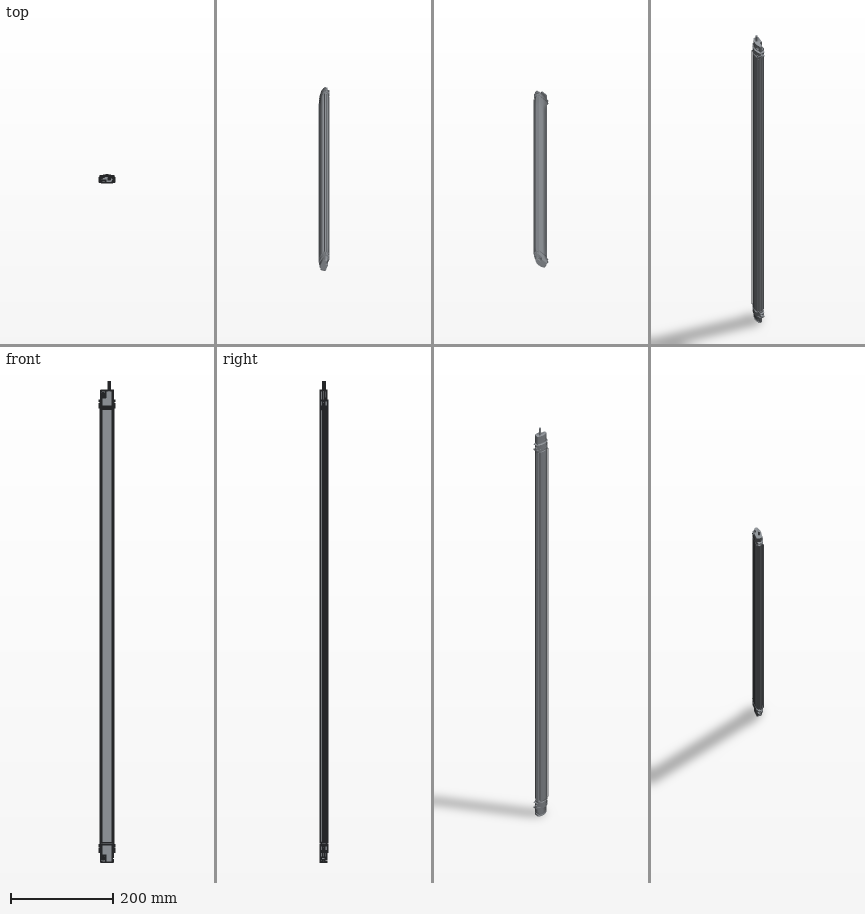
import cadquery as cq

TOTAL_LENGTH = 938.2
RIM_WIDTH = 30.6
DEPTH = 15.53

BAR_WIDTH = 26.0
FRONT_STRIP_WIDTH = 19.8
FRONT_STRIP_STEP = 0.7
BEVEL_END_Y = -2.2
CAP_SIDE_END_Y = 1.5

LIP_Y = 5.8
LIP_WIDTH = 1.2
CROWN_STRIP_WIDTH = 16.0
CROWN_EDGE_Y = 6.0
REAR_GAP_FLOOR_Y = 3.5
SIDE_GROOVE_HEIGHT = 1.5
SIDE_GROOVE_DEPTH = 1.5
SIDE_GROOVE_CENTRES = (0.5, 3.7)

COLLAR_LENGTH = 14.5
LOWER_RIM_HEIGHT = 3.0
UPPER_RIM_HEIGHT = 1.2
RIM_BEVEL_END_Y = -5.8
RIM_SIDE_END_Y = 2.0
TAB_WIDTH = 3.5
LOWER_TAB_HEIGHT = 4.6
UPPER_TAB_HEIGHT = 1.2
TIP_LENGTH = 19.4
TIP_WIDTH = 24.6
TIP_REAR_Y = 5.6
TIP_CORNER_RADIUS = 2.8

SEAT_RIGHT_X = -2.8
SEAT_LENGTH = 14.1
SEAT_DEPTH = 5.0
HOLE_X = -7.5
HOLE_FROM_END = 8.0
HOLE_DIAMETER = 2.8
COUNTERBORE_DIAMETER = 5.6
COUNTERBORE_DEPTH = 1.5
WINDOW_WIDTH = 6.5
WINDOW_HEIGHT = 3.0

NOTCH_HEIGHT = 3.2
NOTCH_FLOOR_Y = 1.5
LOWER_NOTCH_Z = 1.4

SIDE_NOTCH_Z = 5.5
SIDE_NOTCH_HEIGHT = 4.2
SIDE_NOTCH_DEPTH = 1.8

SEAM_ABOVE_COLLAR_BOTTOM = 1.8
SEAM_HEIGHT = 0.6
SEAM_DEPTH = 0.4

LOWER_NECK_LENGTH = 4.5
UPPER_NECK_LENGTH = 3.6
NECK_WIDTH = 26.0
NECK_DEPTH = 11.0
NECK_CORNER_RADIUS = 3.5

CABLE_DIAMETER = 4.0
CABLE_LENGTH = 17.0
CABLE_X = 4.2

FRONT_Y = -DEPTH / 2
REAR_Y = DEPTH / 2
BEVEL_START_Y = FRONT_Y + FRONT_STRIP_STEP
CAP_LENGTH = TIP_LENGTH + COLLAR_LENGTH
UPPER_END_Z = TOTAL_LENGTH - CABLE_LENGTH
UPPER_TIP_Z = UPPER_END_Z - TIP_LENGTH
UPPER_COLLAR_Z = UPPER_END_Z - CAP_LENGTH
BAR_BOTTOM_Z = CAP_LENGTH + LOWER_NECK_LENGTH
BAR_TOP_Z = UPPER_COLLAR_Z - UPPER_NECK_LENGTH


def block(x_range, y_range, z_range):
    """Box spanning the given (low, high) ranges."""
    sizes = [high - low for low, high in (x_range, y_range, z_range)]
    corner = (x_range[0], y_range[0], z_range[0])
    return cq.Workplane("XY").box(*sizes, centered=False).translate(corner)


def front_outline(width, bevel_end_y, bottom_z):
    """Open outline from the left side, across the flat front strip, to the right side."""
    half_width = width / 2
    half_front = FRONT_STRIP_WIDTH / 2
    return (
        cq.Workplane("XY")
        .workplane(offset=bottom_z)
        .moveTo(-half_width, bevel_end_y)
        .lineTo(-half_front, BEVEL_START_Y)
        .lineTo(-half_front, FRONT_Y)
        .lineTo(half_front, FRONT_Y)
        .lineTo(half_front, BEVEL_START_Y)
        .lineTo(half_width, bevel_end_y)
    )


def domed_prism(width, bevel_end_y, side_end_y, rear_y, z_range):
    """Prism along Z with the shared front and a domed rear."""
    half_width = width / 2
    return (
        front_outline(width, bevel_end_y, z_range[0])
        .lineTo(half_width, side_end_y)
        .threePointArc((0, rear_y), (-half_width, side_end_y))
        .close()
        .extrude(z_range[1] - z_range[0])
    )


def make_bar():
    """Long bar with corner lips and a crowned strip at the rear, and two grooves in each side."""
    z_range = (BAR_BOTTOM_Z, BAR_TOP_Z)
    half_width = BAR_WIDTH / 2
    lip_x = half_width - LIP_WIDTH
    strip_x = CROWN_STRIP_WIDTH / 2
    bar = (
        front_outline(BAR_WIDTH, BEVEL_END_Y, BAR_BOTTOM_Z)
        .lineTo(half_width, LIP_Y)
        .lineTo(lip_x, LIP_Y)
        .lineTo(lip_x, REAR_GAP_FLOOR_Y)
        .lineTo(strip_x, REAR_GAP_FLOOR_Y)
        .lineTo(strip_x, CROWN_EDGE_Y)
        .threePointArc((0, REAR_Y), (-strip_x, CROWN_EDGE_Y))
        .lineTo(-strip_x, REAR_GAP_FLOOR_Y)
        .lineTo(-lip_x, REAR_GAP_FLOOR_Y)
        .lineTo(-lip_x, LIP_Y)
        .lineTo(-half_width, LIP_Y)
        .close()
        .extrude(BAR_TOP_Z - BAR_BOTTOM_Z)
    )
    groove_floor_x = half_width - SIDE_GROOVE_DEPTH
    for centre in SIDE_GROOVE_CENTRES:
        y_range = (centre - SIDE_GROOVE_HEIGHT / 2, centre + SIDE_GROOVE_HEIGHT / 2)
        bar = bar.cut(block((groove_floor_x, half_width), y_range, z_range))
        bar = bar.cut(block((-half_width, -groove_floor_x), y_range, z_range))
    return bar


def make_neck(bottom_z, top_z):
    """Rounded neck joining the bar to a cap."""
    neck = block((-NECK_WIDTH / 2, NECK_WIDTH / 2), (-NECK_DEPTH / 2, NECK_DEPTH / 2), (bottom_z, top_z))
    return neck.edges("|Z").fillet(NECK_CORNER_RADIUS)


def make_collar(bottom_z):
    """Collar with a wide rim at each end and facing tabs at the middle of each side."""
    top_z = bottom_z + COLLAR_LENGTH
    lower_rim_z = bottom_z + LOWER_RIM_HEIGHT
    upper_rim_z = top_z - UPPER_RIM_HEIGHT
    collar = domed_prism(BAR_WIDTH, BEVEL_END_Y, CAP_SIDE_END_Y, REAR_Y, (bottom_z, top_z))
    for z_range in ((bottom_z, lower_rim_z), (upper_rim_z, top_z)):
        collar = collar.union(domed_prism(RIM_WIDTH, RIM_BEVEL_END_Y, RIM_SIDE_END_Y, REAR_Y, z_range))
    tab_x = (-RIM_WIDTH / 2, RIM_WIDTH / 2)
    tab_y = (-TAB_WIDTH / 2, TAB_WIDTH / 2)
    collar = collar.union(block(tab_x, tab_y, (lower_rim_z, lower_rim_z + LOWER_TAB_HEIGHT)))
    return collar.union(block(tab_x, tab_y, (upper_rim_z - UPPER_TAB_HEIGHT, upper_rim_z)))


def cut_seat(tip, end_z, inward):
    """Cut the front seat and its counterbored hole; inward is +1 or -1 along Z from the end."""
    seat_floor_y = FRONT_Y + SEAT_DEPTH
    seat_z = sorted((end_z, end_z + inward * SEAT_LENGTH))
    tip = tip.cut(block((-TIP_WIDTH / 2, SEAT_RIGHT_X), (FRONT_Y, seat_floor_y), seat_z))
    hole_plane = cq.Workplane("XZ", origin=(HOLE_X, seat_floor_y, end_z + inward * HOLE_FROM_END))
    tip = tip.cut(hole_plane.circle(HOLE_DIAMETER / 2).extrude(-DEPTH))
    return tip.cut(hole_plane.circle(COUNTERBORE_DIAMETER / 2).extrude(-COUNTERBORE_DEPTH))


def cut_notch(tip, bottom_z):
    """Cut the notch across the rear of a tip."""
    x_range = (-TIP_WIDTH / 2, TIP_WIDTH / 2)
    return tip.cut(block(x_range, (NOTCH_FLOOR_Y, TIP_REAR_Y), (bottom_z, bottom_z + NOTCH_HEIGHT)))


def round_corner(tip, side, end_z, inward):
    """Round the free corner of a tip on the given side (+1 right, -1 left)."""
    corner_x = side * TIP_WIDTH / 2
    centre_x = corner_x - side * TIP_CORNER_RADIUS
    centre_z = end_z + inward * TIP_CORNER_RADIUS
    waste = block(sorted((corner_x, centre_x)), (FRONT_Y, REAR_Y), sorted((end_z, centre_z)))
    rounding_plane = cq.Workplane("XZ", origin=(centre_x, 0, centre_z))
    rounding = rounding_plane.circle(TIP_CORNER_RADIUS).extrude(DEPTH, both=True)
    return tip.cut(waste.cut(rounding))


def make_tip(bottom_z):
    """Plain cap tip before its seat, notch and rounded corners are cut."""
    return domed_prism(TIP_WIDTH, BEVEL_END_Y, CAP_SIDE_END_Y, TIP_REAR_Y, (bottom_z, bottom_z + TIP_LENGTH))


def make_lower_cap():
    """Closed cap at the bottom of the bar, with a side notch and both free corners rounded."""
    tip = cut_seat(make_tip(0), end_z=0, inward=1)
    tip = cut_notch(tip, LOWER_NOTCH_Z)
    side_x = (TIP_WIDTH / 2 - SIDE_NOTCH_DEPTH, TIP_WIDTH / 2)
    tip = tip.cut(block(side_x, (FRONT_Y, REAR_Y), (SIDE_NOTCH_Z, SIDE_NOTCH_Z + SIDE_NOTCH_HEIGHT)))
    for side in (-1, 1):
        tip = round_corner(tip, side, end_z=0, inward=1)
    return tip.union(make_collar(TIP_LENGTH))


def make_upper_collar():
    """Collar with a shallow seam across its front."""
    seam_x = (-RIM_WIDTH / 2, RIM_WIDTH / 2)
    seam_y = (FRONT_Y, FRONT_Y + SEAM_DEPTH)
    seam_z = UPPER_COLLAR_Z + SEAM_ABOVE_COLLAR_BOTTOM
    return make_collar(UPPER_COLLAR_Z).cut(block(seam_x, seam_y, (seam_z, seam_z + SEAM_HEIGHT)))


def make_cable():
    """Round cable standing on the upper end."""
    plane = cq.Workplane("XY", origin=(CABLE_X, 0, UPPER_END_Z))
    return plane.circle(CABLE_DIAMETER / 2).extrude(CABLE_LENGTH)


def make_upper_cap():
    """Cap at the top of the bar, with a window through the seat and the cable leaving its end."""
    tip = cut_seat(make_tip(UPPER_TIP_Z), end_z=UPPER_END_Z, inward=-1)
    tip = cut_notch(tip, UPPER_TIP_Z)
    tip = round_corner(tip, -1, end_z=UPPER_END_Z, inward=-1)
    window_x = (SEAT_RIGHT_X - WINDOW_WIDTH, SEAT_RIGHT_X)
    window_bottom_z = UPPER_END_Z - SEAT_LENGTH
    tip = tip.cut(block(window_x, (FRONT_Y, REAR_Y), (window_bottom_z, window_bottom_z + WINDOW_HEIGHT)))
    return tip.union(make_upper_collar()).union(make_cable())


result = (
    make_bar()
    .union(make_neck(CAP_LENGTH, BAR_BOTTOM_Z))
    .union(make_neck(BAR_TOP_Z, UPPER_COLLAR_Z))
    .union(make_lower_cap())
    .union(make_upper_cap())
)